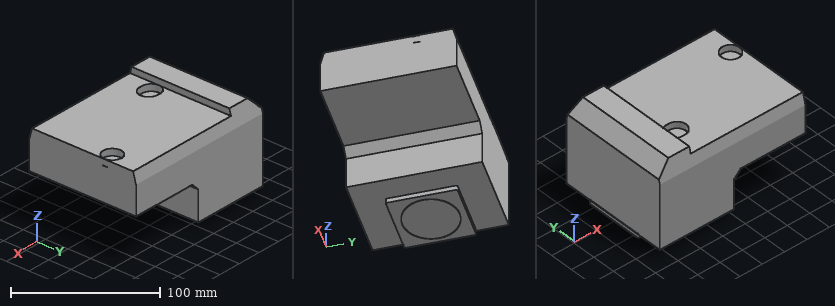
import cadquery as cq

length = 130.0
width = 95.0
height = 75.0

nose_chamfer = 11.0
rim_end = 29.8
deck_drop = 5.3
arm_underside = 39.3
body_length = 66.2
inner_chamfer = 6.2
body_depth = 71.0

slope_inset = 4.0
slope_drop = 14.8

pad_start = 0.4
pad_length = 47.5
pad_width = 50.0
pad_thickness = 3.8
pad_corner_radius = 1.24
disc_diameter = 40.0

recess_diameter = 16.0
recess_depth = 5.7
round_recess_x = 121.5
recess_y = 19.1
slot_travel = 2.5


def make_body():
    """L-shaped side profile trimmed by a cross-section with sloping shoulders."""
    profile = (
        cq.Workplane("XZ")
        .moveTo(0, -nose_chamfer)
        .lineTo(nose_chamfer, 0)
        .lineTo(rim_end, 0)
        .lineTo(rim_end, -deck_drop)
        .lineTo(length, -deck_drop)
        .lineTo(length, -arm_underside)
        .lineTo(body_length + inner_chamfer, -arm_underside)
        .lineTo(body_length, -arm_underside - inner_chamfer)
        .lineTo(body_length, -body_depth)
        .lineTo(0, -body_depth)
        .close()
        .extrude(width / 2, both=True)
    )
    half_width = width / 2
    cross_section = (
        cq.Workplane("YZ")
        .moveTo(-half_width, -body_depth)
        .lineTo(half_width, -body_depth)
        .lineTo(half_width, -slope_drop)
        .lineTo(half_width - slope_inset, 0)
        .lineTo(slope_inset - half_width, 0)
        .lineTo(-half_width, -slope_drop)
        .close()
        .extrude(length)
    )
    return profile.intersect(cross_section)


def make_foot():
    """Rounded rectangular pad with a shallow round disc below it."""
    pad_centre = pad_start + pad_length / 2
    pad_bottom = body_depth + pad_thickness
    pad = (
        cq.Workplane("XY", origin=(pad_centre, 0, -pad_bottom))
        .rect(pad_length, pad_width)
        .extrude(pad_thickness)
        .edges("|Z")
        .fillet(pad_corner_radius)
    )
    disc = (
        cq.Workplane("XY", origin=(pad_centre, 0, -height))
        .circle(disc_diameter / 2)
        .extrude(height - pad_bottom)
    )
    return pad.union(disc)


def make_recesses():
    """Round recess near the arm end and a short slot touching the rim wall."""
    floor = cq.Workplane("XY", origin=(0, 0, -deck_drop - recess_depth))
    round_recess = (
        floor.center(round_recess_x, recess_y)
        .circle(recess_diameter / 2)
        .extrude(recess_depth)
    )
    slot_length = recess_diameter + slot_travel
    slot = (
        floor.center(rim_end + slot_length / 2, -recess_y)
        .slot2D(slot_length, recess_diameter)
        .extrude(recess_depth)
    )
    return round_recess.union(slot)


result = make_body().union(make_foot()).cut(make_recesses())